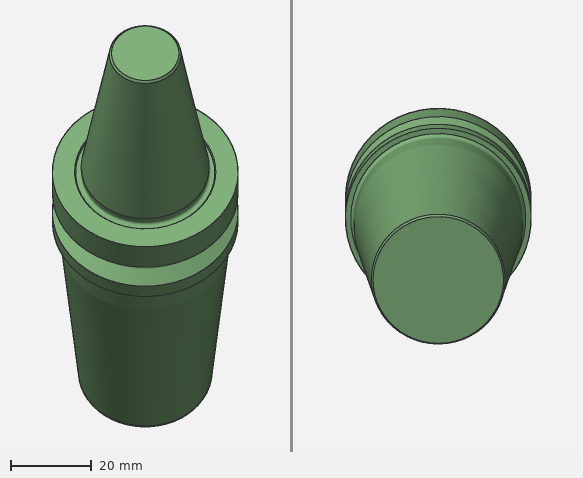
import cadquery as cq
import math

total_height = 134.4
flange_bottom = 64.0
flange_top = 84.8
lower_rim_height = 4.3
upper_rim_height = 8.6
gauge_height = 86.8
straight_body_bottom = 55.4

flange_radius = 23.0
groove_radius = 19.0
body_radius = 20.8
nose_radius = 16.5
taper_large_radius = 15.9
taper_small_radius = 8.9

relief_top_radius = 21.6
relief_height = 1.1
relief_fillet = 1.3
nose_chamfer = 1.0
nose_chamfer_radial = 0.4
taper_end_chamfer = 0.5
groove_slope_angle = 30.0
groove_fillet = 0.8
neck_radius = 15.7
neck_chamfer_height = 0.5
neck_fillet = 0.7
seat_radius = 17.5
seat_depth = 0.4
seat_wall_taper = 0.3

lower_rim_top = flange_bottom + lower_rim_height
upper_rim_bottom = flange_top - upper_rim_height
groove_slope_height = (flange_radius - groove_radius) * math.tan(math.radians(groove_slope_angle))
groove_bottom = lower_rim_top + groove_slope_height
groove_top = upper_rim_bottom - groove_slope_height
relief_bottom = flange_bottom - relief_height
seat_floor = flange_top - seat_depth

match_tolerance = 0.0001

profile = [
    (0, 0),
    (nose_radius - nose_chamfer_radial, 0),
    (nose_radius, nose_chamfer),
    (body_radius, straight_body_bottom),
    (body_radius, relief_bottom),
    (relief_top_radius, flange_bottom),
    (flange_radius, flange_bottom),
    (flange_radius, lower_rim_top),
    (groove_radius, groove_bottom),
    (groove_radius, groove_top),
    (flange_radius, upper_rim_bottom),
    (flange_radius, flange_top),
    (seat_radius, flange_top),
    (seat_radius - seat_wall_taper, seat_floor),
    (neck_radius, seat_floor),
    (neck_radius, gauge_height - neck_chamfer_height),
    (taper_large_radius, gauge_height),
    (taper_small_radius, total_height - taper_end_chamfer),
    (taper_small_radius - taper_end_chamfer, total_height),
    (0, total_height),
]


def fillet_circle(part, radius, height, fillet_radius):
    """Round the circular edge of the given radius at the given height."""

    def is_wanted(edge):
        if edge.geomType() != "CIRCLE":
            return False
        same_radius = abs(edge.radius() - radius) < match_tolerance
        same_height = abs(edge.startPoint().z - height) < match_tolerance
        return same_radius and same_height

    return part.edges().filter(is_wanted).fillet(fillet_radius)


holder = cq.Workplane("XZ").polyline(profile).close().revolve(360, (0, 0, 0), (0, 1, 0))

holder = fillet_circle(holder, body_radius, relief_bottom, relief_fillet)
for groove_corner in (groove_bottom, groove_top):
    holder = fillet_circle(holder, groove_radius, groove_corner, groove_fillet)
result = fillet_circle(holder, neck_radius, seat_floor, neck_fillet)